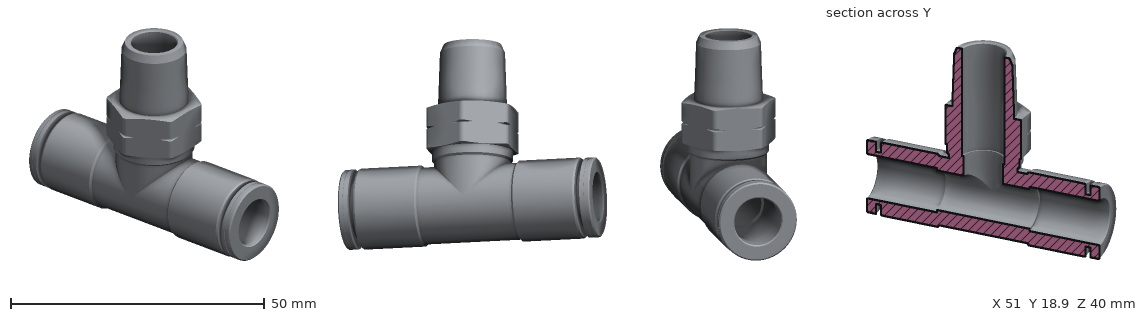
import cadquery as cq
import math

overall_length = 51.0
half_length = overall_length / 2
run_diameter = 15.2
sleeve_diameter = 16.0
sleeve_inner_end = 9.6
sleeve_outer_end = 22.45
sleeve_edge_length = 0.35
sleeve_edge_depth = 0.2

collet_diameter = 11.55
ring_diameter = 15.8
ring_thickness = 2.05
ring_edge_chamfer = 0.25
ring_groove_diameter = 15.6
ring_groove_width = 0.2
ring_groove_distance = 1.1

bore_diameter = 8.5
socket_diameter = 9.55
socket_mouth_diameter = 10.0
socket_depth = 15.3

overall_height = 40.0
branch_top = overall_height - sleeve_diameter / 2
collar_diameter = 16.0
collar_bottom = 8.65
hex_bottom = 10.4
hex_top = 19.0
thread_base_diameter = 13.65
thread_end_diameter = 12.85
thread_tip_diameter = 11.55
thread_tip_length = 1.55
branch_bore_diameter = 9.15
branch_mouth_diameter = 9.55

hex_across_flats = 16.7
hex_corner_radius = 1.1
hex_chamfer_height = 0.3
hex_rim_radius = hex_across_flats / 2 - 0.05
hex_sharp_radius = hex_across_flats / (2 * math.cos(math.radians(30)))
notch_root_radius = 8.7
notch_root_height = 0.15
notch_mouth_height = 0.65


def revolve_about_z(profile):
    """Turn a closed outline of (radius, z) points about the Z axis."""
    return cq.Workplane("XZ").polyline(profile).close().revolve(360, (0, 0), (0, 1))


def revolve_symmetric_about_x(half_outline):
    """Turn an open (x, radius) outline and its mirror image at -X about the X axis."""
    mirrored = [(-x, radius) for x, radius in reversed(half_outline)]
    profile = cq.Workplane("XZ").polyline(mirrored + half_outline).close()
    return profile.revolve(360, (0, 0), (1, 0))


def make_run():
    run_radius = run_diameter / 2
    sleeve_radius = sleeve_diameter / 2
    collet_radius = collet_diameter / 2
    ring_radius = ring_diameter / 2
    groove_radius = ring_groove_diameter / 2
    groove_center = half_length - ring_groove_distance
    groove_start = groove_center - ring_groove_width / 2
    groove_end = groove_center + ring_groove_width / 2
    ring_start = half_length - ring_thickness
    return revolve_symmetric_about_x([
        (sleeve_inner_end, run_radius),
        (sleeve_inner_end + sleeve_radius - run_radius, sleeve_radius),
        (sleeve_outer_end - sleeve_edge_length, sleeve_radius),
        (sleeve_outer_end, sleeve_radius - sleeve_edge_depth),
        (sleeve_outer_end, collet_radius),
        (ring_start, collet_radius),
        (ring_start, ring_radius),
        (groove_start, ring_radius),
        (groove_start, groove_radius),
        (groove_end, groove_radius),
        (groove_end, ring_radius),
        (half_length - ring_edge_chamfer, ring_radius),
        (half_length, ring_radius - ring_edge_chamfer),
        (half_length, 0),
    ])


def make_branch():
    neck_radius = run_diameter / 2
    collar_radius = collar_diameter / 2
    return revolve_about_z([
        (0, 0),
        (neck_radius, 0),
        (neck_radius, collar_bottom - (collar_radius - neck_radius)),
        (collar_radius, collar_bottom),
        (collar_radius, hex_bottom),
        (thread_base_diameter / 2, hex_bottom),
        (thread_base_diameter / 2, hex_top),
        (thread_end_diameter / 2, branch_top - thread_tip_length),
        (thread_tip_diameter / 2, branch_top),
        (0, branch_top),
    ])


def make_hexagon():
    prism = (
        cq.Workplane("XY", origin=(0, 0, hex_bottom))
        .transformed(rotate=(0, 0, 90))
        .polygon(6, 2 * hex_sharp_radius)
        .extrude(hex_top - hex_bottom)
        .edges("|Z")
        .fillet(hex_corner_radius)
    )
    middle = (hex_bottom + hex_top) / 2
    envelope = revolve_about_z([
        (0, hex_bottom),
        (hex_rim_radius, hex_bottom),
        (hex_sharp_radius, hex_bottom + hex_chamfer_height),
        (hex_sharp_radius, middle - notch_mouth_height / 2),
        (notch_root_radius, middle - notch_root_height / 2),
        (notch_root_radius, middle + notch_root_height / 2),
        (hex_sharp_radius, middle + notch_mouth_height / 2),
        (hex_sharp_radius, hex_top - hex_chamfer_height),
        (hex_rim_radius, hex_top),
        (0, hex_top),
    ])
    return prism.intersect(envelope)


def make_run_bore():
    bore_radius = bore_diameter / 2
    socket_radius = socket_diameter / 2
    mouth_radius = socket_mouth_diameter / 2
    socket_floor = half_length - socket_depth
    return revolve_symmetric_about_x([
        (socket_floor, bore_radius),
        (socket_floor, socket_radius),
        (half_length - (mouth_radius - socket_radius), socket_radius),
        (half_length, mouth_radius),
        (half_length, 0),
    ])


def make_branch_bore():
    bore_radius = bore_diameter / 2
    upper_radius = branch_bore_diameter / 2
    mouth_radius = branch_mouth_diameter / 2
    return revolve_about_z([
        (0, 0),
        (bore_radius, 0),
        (bore_radius, collar_bottom),
        (upper_radius, collar_bottom),
        (upper_radius, branch_top - (mouth_radius - upper_radius)),
        (mouth_radius, branch_top),
        (0, branch_top),
    ])


outside = make_run().union(make_branch()).union(make_hexagon())
result = outside.cut(make_run_bore()).cut(make_branch_bore())